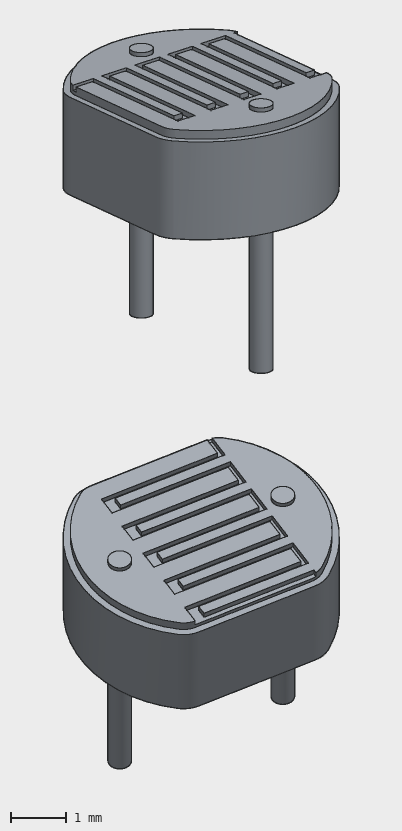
import cadquery as cq
import math

BODY_RADIUS = 2.485
BODY_DEPTH = 4.14
CORNER_RADIUS = 0.57
BODY_HEIGHT = 1.91

PLATE_INSET = 0.13
PLATE_HEIGHT = 0.17

LEAD_DIAMETER = 0.43
LEAD_OFFSET = 1.675
LEAD_LENGTH = 3.02
LEAD_TIP = 0.08

GROOVE_WIDTH = 0.1
GROOVE_DEPTH = 0.1
FINGER_WIDTH = 0.2
GROOVE_LEFT = -1.29
GROOVE_RIGHT = 1.195
FINGER_END = 0.965
TURN_COUNT = 5

PLATE_DEPTH = BODY_DEPTH - 2 * PLATE_INSET
PLATE_TOP = BODY_HEIGHT + PLATE_HEIGHT
TURN_PITCH = PLATE_DEPTH / TURN_COUNT


def flatted_disc(inset, height, base_z):
    """Disc with two flats and tangent corner arcs, its outline moved inwards by inset."""
    radius = BODY_RADIUS - inset
    corner = CORNER_RADIUS - inset
    flat_y = BODY_DEPTH / 2 - inset
    center_y = flat_y - corner
    center_x = math.sqrt((radius - corner) ** 2 - center_y ** 2)
    tangent_angle = math.atan2(center_y, center_x)
    tangent_x = radius * math.cos(tangent_angle)
    tangent_y = radius * math.sin(tangent_angle)
    middle_angle = (tangent_angle + math.pi / 2) / 2
    middle_x = center_x + corner * math.cos(middle_angle)
    middle_y = center_y + corner * math.sin(middle_angle)
    return (
        cq.Workplane("XY", origin=(0, 0, base_z))
        .moveTo(-center_x, -flat_y)
        .lineTo(center_x, -flat_y)
        .threePointArc((middle_x, -middle_y), (tangent_x, -tangent_y))
        .threePointArc((radius, 0), (tangent_x, tangent_y))
        .threePointArc((middle_x, middle_y), (center_x, flat_y))
        .lineTo(-center_x, flat_y)
        .threePointArc((-middle_x, middle_y), (-tangent_x, tangent_y))
        .threePointArc((-radius, 0), (-tangent_x, -tangent_y))
        .threePointArc((-middle_x, -middle_y), (-center_x, -flat_y))
        .close()
        .extrude(height)
    )


def groove_box(x_min, x_max, y_min, y_max):
    """Rectangular cutter reaching from the plate top down to the groove floor."""
    floor_z = PLATE_TOP - GROOVE_DEPTH
    return (
        cq.Workplane("XY")
        .box(x_max - x_min, y_max - y_min, GROOVE_DEPTH, centered=False)
        .translate((x_min, y_min, floor_z))
    )


def groove_turn(start_y):
    """One turn of the groove: two long legs, the wide end at +X and the link at -X."""
    upper_y = start_y + GROOVE_WIDTH + FINGER_WIDTH
    end_y = upper_y + GROOVE_WIDTH
    previous_upper_y = upper_y - TURN_PITCH
    lower_leg = groove_box(GROOVE_LEFT, GROOVE_RIGHT, start_y, start_y + GROOVE_WIDTH)
    upper_leg = groove_box(GROOVE_LEFT, GROOVE_RIGHT, upper_y, end_y)
    wide_end = groove_box(FINGER_END, GROOVE_RIGHT, start_y, end_y)
    link = groove_box(GROOVE_LEFT, GROOVE_LEFT + GROOVE_WIDTH, previous_upper_y, start_y)
    return lower_leg.union(upper_leg).union(wide_end).union(link)


def lead(x):
    """Straight lead wire from below the housing to just above the plate."""
    length = LEAD_LENGTH + PLATE_TOP + LEAD_TIP
    return (
        cq.Workplane("XY", origin=(x, 0, -LEAD_LENGTH))
        .circle(LEAD_DIAMETER / 2)
        .extrude(length)
    )


housing = flatted_disc(0, BODY_HEIGHT, 0)
plate = flatted_disc(PLATE_INSET, PLATE_HEIGHT, BODY_HEIGHT)

for turn in range(TURN_COUNT):
    plate = plate.cut(groove_turn((turn - TURN_COUNT // 2) * TURN_PITCH))

result = housing.union(plate)
for side in (-1, 1):
    result = result.union(lead(side * LEAD_OFFSET))